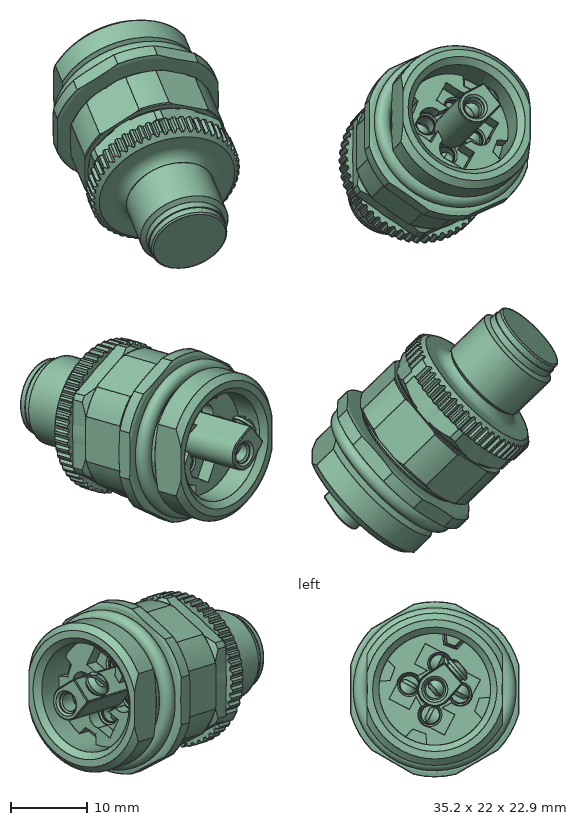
import cadquery as cq
import math


LENGTH = 35.2

body_start = 3.25
body_end = 7.85
body_dia = 19.92
body_flats = 17.67
rear_chamfer = 0.85
front_chamfer_length = 0.6
front_chamfer_depth = 1.15

core_dia = 17.3
ring_wire_dia = 2.1
ring_outer_dia = 21.33
ring_center_x = 9.15

flange_start = 10.2
flange_end = 12.2
flange_flats = 22.0
flange_dia = 22.9
flange_chamfer_length = 0.15
flange_chamfer_depth = 0.53

neck_dia = 16.9
neck_groove_dia = 16.75
neck_groove_width = 0.2
sleeve_start = 13.1
sleeve_end = 19.55
sleeve_flats = 19.0
sleeve_dia = 20.0
sleeve_rear_chamfer = 0.35
sleeve_front_chamfer = 0.15

nut_start = 19.7
knurl_start = 22.2
knurl_end = 24.4
nut_end = 25.15
nut_flats = 18.02
nut_round_dia = 18.2
nut_corner_dia = 20.3
nut_cone_length = 0.85
nut_cone_start_dia = 18.4
nut_end_dia = 18.5
groove_count = 54
groove_depth = 0.4
groove_bottom_width = 0.28
groove_top_width = 0.85
plain_corner_angle = 210.0

throat_base_radius = 7.2
throat_end_x = 26.2
throat_end_radius = 5.55
throat_mid_x = 25.5
throat_mid_radius = 6.2
plug_start = 26.58
plug_dia = 12.0
plug_shoulder = 32.8
tip_start = 33.2
tip_dia = 10.6
tip_step = 34.15
end_dia = 10.3
end_chamfer = 0.2

bore_dia = 14.6
bore_mouth_dia = 16.25
bore_mouth_depth = 0.8
insert_face = 7.6
recess_depth = 1.95
recess_floor = insert_face + recess_depth
recess_side = 5.2
recess_angle = 151.0

notch_radius = 5.88
notch_width = 1.83
notch_flare = 24.0
first_notch_angle = 20.0
tongue_notch_angle = 110.0
tongue_margin = 0.35
tongue_height = 1.05
tongue_taper = 15.0

outer_terminal_radius = 3.38
first_terminal_angle = 99.9
terminal_screw_turn = -72.2
pocket_round_dia = 3.25
terminal_mouth_dia = 3.03
terminal_throat_dia = 2.6
terminal_hole_dia = 2.4
terminal_hole_depth = 3.52
terminal_screw_depth = 1.95
pocket_width = 3.0
pocket_reach = 2.85

post_radius = 2.25
post_face_offset = 3.27
post_face_width = 3.65
post_angle = 139.0
post_edge = 0.15
post_mouth_dia = 3.4
post_throat_dia = 2.8
post_hole_dia = 2.4
post_hole_depth = 4.58
throat_length = 0.18
screw_x = 2.8
shaft_dia = 2.5
shaft_tip = 0.42
shaft_tip_chamfer = 0.5
head_dia = 3.4
head_neck_dia = 2.8
head_rim_start = 0.42
head_rim_end = 0.85
head_height = 1.4
head_top_dia = 1.85
head_slot_width = 0.5
head_slot_depth = 0.55
head_slot_angle = -55.0


def turned(points):
    """Solid of revolution about X from (x, radius) points."""
    return cq.Workplane("XY").polyline(points).close().revolve(360, (0, 0, 0), (1, 0, 0))


def cylinder(start, end, dia):
    return cq.Workplane("YZ", origin=(start, 0, 0)).circle(dia / 2).extrude(end - start)


def hexagon(start, end, flats):
    """Hexagonal prism with two flats facing +Y and -Y."""
    corner_dia = flats / math.cos(math.radians(30))
    prism = cq.Workplane("YZ", origin=(start, 0, 0)).polygon(6, corner_dia).extrude(end - start)
    return prism.rotate((0, 0, 0), (1, 0, 0), 30)


def barrel(start, end, dia, start_chamfer, end_chamfer):
    """Cylinder along X; each end chamfer is given as (length, radial depth)."""
    radius = dia / 2
    start_length, start_depth = start_chamfer
    end_length, end_depth = end_chamfer
    return turned([
        (start, 0),
        (start, radius - start_depth),
        (start + start_length, radius),
        (end - end_length, radius),
        (end, radius - end_depth),
        (end, 0),
    ])


def around_axis(shape, angle):
    return shape.rotate((0, 0, 0), (1, 0, 0), angle)


def rear_body():
    rear = (rear_chamfer, rear_chamfer)
    front = (front_chamfer_length, front_chamfer_depth)
    body = barrel(body_start, body_end, body_dia, rear, front)
    flats = cq.Workplane("XY").box(LENGTH * 2, body_flats, body_dia)
    return body.intersect(flats)


def sealing_ring():
    wire = ring_wire_dia / 2
    section = cq.Workplane("XY").moveTo(ring_center_x, ring_outer_dia / 2 - wire).circle(wire)
    ring = section.revolve(360, (0, 0, 0), (1, 0, 0))
    return ring.union(cylinder(body_end, flange_start, core_dia))


def flange():
    chamfer = (flange_chamfer_length, flange_chamfer_depth)
    crown = barrel(flange_start, flange_end, flange_dia, chamfer, chamfer)
    groove_end = flange_end + neck_groove_width
    neck = cylinder(flange_end, groove_end, neck_groove_dia)
    neck = neck.union(cylinder(groove_end, sleeve_start, neck_dia))
    return hexagon(flange_start, flange_end, flange_flats).intersect(crown).union(neck)


def sleeve():
    rear = (sleeve_rear_chamfer, sleeve_rear_chamfer)
    front = (sleeve_front_chamfer, sleeve_front_chamfer)
    crown = barrel(sleeve_start, sleeve_end, sleeve_dia, rear, front)
    return hexagon(sleeve_start, sleeve_end, sleeve_flats).intersect(crown)


def knurl_groove():
    """Cutter for one groove, lying along X at the +Y side."""
    outer = nut_corner_dia / 2
    slope = (groove_top_width - groove_bottom_width) / 2 / groove_depth
    overshoot = 0.35
    half_bottom = groove_bottom_width / 2
    half_top = half_bottom + slope * (groove_depth + overshoot)
    section = [
        (outer - groove_depth, -half_bottom),
        (outer + overshoot, -half_top),
        (outer + overshoot, half_top),
        (outer - groove_depth, half_bottom),
    ]
    plane = cq.Workplane("YZ", origin=(knurl_start, 0, 0))
    return plane.polyline(section).close().extrude(nut_end - knurl_start)


def nut():
    corner = nut_corner_dia / 2
    crown = turned([
        (nut_start, 0),
        (nut_start, nut_cone_start_dia / 2),
        (nut_start + nut_cone_length, corner),
        (knurl_start, corner),
        (knurl_start, 0),
    ])
    front = hexagon(nut_start, knurl_start, nut_flats).intersect(crown)
    front = front.union(cylinder(sleeve_end, knurl_start, nut_round_dia))

    knurl = turned([
        (knurl_start, 0),
        (knurl_start, corner),
        (knurl_end, corner),
        (nut_end, nut_end_dia / 2),
        (nut_end, 0),
    ])
    pitch = 360 / groove_count
    groove = knurl_groove()
    for index in range(1, groove_count):
        knurl = knurl.cut(around_axis(groove, plain_corner_angle + index * pitch))
    return front.union(knurl)


def plug():
    return (
        cq.Workplane("XY")
        .moveTo(nut_end, 0)
        .lineTo(nut_end, throat_base_radius)
        .threePointArc((throat_mid_x, throat_mid_radius), (throat_end_x, throat_end_radius))
        .lineTo(plug_start, plug_dia / 2)
        .lineTo(plug_shoulder, plug_dia / 2)
        .lineTo(tip_start, tip_dia / 2)
        .lineTo(tip_step, tip_dia / 2)
        .lineTo(tip_step, end_dia / 2)
        .lineTo(LENGTH - end_chamfer, end_dia / 2)
        .lineTo(LENGTH, end_dia / 2 - end_chamfer)
        .lineTo(LENGTH, 0)
        .close()
        .revolve(360, (0, 0, 0), (1, 0, 0))
    )


def bore():
    return turned([
        (body_start, 0),
        (body_start, bore_mouth_dia / 2),
        (body_start + bore_mouth_depth, bore_dia / 2),
        (recess_floor, bore_dia / 2),
        (recess_floor, 0),
    ])


def notch_prism(start, depth, margin, taper=0):
    """Flared prism reaching past the bore wall at the +Y side.

    The margin shrinks the section and the taper (degrees) widens it with depth.
    """
    inner = notch_radius + margin
    outer = bore_dia / 2 + depth
    half_inner = notch_width / 2 - margin
    half_outer = half_inner + (outer - inner) * math.tan(math.radians(notch_flare))
    section = [(inner, -half_inner), (outer, -half_outer), (outer, half_outer), (inner, half_inner)]
    return cq.Workplane("YZ", origin=(start, 0, 0)).polyline(section).close().extrude(depth, taper=-taper)


def contact_insert():
    """Insert disc with a central square recess, edge notches and four screw pockets."""
    plane = cq.Workplane("YZ", origin=(insert_face, 0, 0))
    recess = plane.rect(recess_side, recess_side).extrude(recess_depth)
    insert = cylinder(insert_face, recess_floor, bore_dia).cut(around_axis(recess, recess_angle))
    notch = notch_prism(insert_face, recess_depth, 0)
    pocket = plane.center(pocket_reach / 2, 0).rect(pocket_reach, pocket_width).extrude(recess_depth)
    pocket = pocket.union(cylinder(insert_face, recess_floor, pocket_round_dia))
    for quarter in range(4):
        insert = insert.cut(around_axis(notch, first_notch_angle + 90 * quarter))
        insert = insert.cut(place_terminal(pocket, quarter))
    return insert.union(tongue())


def wire_hole(start, mouth_dia, throat_dia, hole_dia, depth):
    """Blind hole that narrows in two 45 degree cones with a short straight throat between them."""
    throat_start = start + (mouth_dia - throat_dia) / 2
    throat_end = throat_start + throat_length
    hole_start = throat_end + (throat_dia - hole_dia) / 2
    return turned([
        (start, 0),
        (start, mouth_dia / 2),
        (throat_start, throat_dia / 2),
        (throat_end, throat_dia / 2),
        (hole_start, hole_dia / 2),
        (start + depth, hole_dia / 2),
        (start + depth, 0),
    ])


def screw_shaft(x, length):
    """Screw shaft pointing to the axis from the +Y side, with a chamfered tip."""
    plane = cq.Workplane("XZ", origin=(x, -shaft_tip, 0))
    return plane.circle(shaft_dia / 2).extrude(-length).faces("<Y").chamfer(shaft_tip_chamfer)


def outer_terminal_hole():
    """Wire hole of an outer terminal with the screw tip standing in it."""
    hole = wire_hole(
        recess_floor, terminal_mouth_dia, terminal_throat_dia, terminal_hole_dia, terminal_hole_depth
    )
    return hole.cut(screw_shaft(recess_floor + terminal_screw_depth, pocket_round_dia))


def place_terminal(shape, quarter):
    """Move a terminal shape from the axis to its place, its screw side turned from +Y."""
    moved = around_axis(shape, terminal_screw_turn).translate((0, outer_terminal_radius, 0))
    return around_axis(moved, first_terminal_angle + 90 * quarter)


def post():
    """Central terminal: round back, sides running tangent to a flat screw face at +Y."""
    half_width = post_face_width / 2
    corner_distance = math.hypot(post_face_offset, half_width)
    tangent = math.atan2(half_width, post_face_offset) + math.acos(post_radius / corner_distance)
    tangent_y = post_radius * math.cos(tangent)
    tangent_z = post_radius * math.sin(tangent)
    block = (
        cq.Workplane("YZ")
        .moveTo(post_face_offset, -half_width)
        .lineTo(post_face_offset, half_width)
        .lineTo(tangent_y, tangent_z)
        .threePointArc((-post_radius, 0), (tangent_y, -tangent_z))
        .close()
        .extrude(recess_floor)
    )
    block = block.edges("|X and >Y").chamfer(post_edge).faces("<X").chamfer(post_edge)
    block = block.cut(wire_hole(0, post_mouth_dia, post_throat_dia, post_hole_dia, post_hole_depth))
    block = block.union(screw_shaft(screw_x, post_face_offset + shaft_tip))
    return around_axis(block.union(screw_head()), post_angle)


def screw_head():
    """Slotted screw head with a tapered top, on the +Y face of the post."""
    profile = [
        (0, 0),
        (head_neck_dia / 2, 0),
        (head_neck_dia / 2, head_rim_start),
        (head_dia / 2, head_rim_start),
        (head_dia / 2, head_rim_end),
        (head_top_dia / 2, head_height),
        (0, head_height),
    ]
    head = cq.Workplane("XY").polyline(profile).close().revolve(360, (0, 0, 0), (0, 1, 0))
    slot = cq.Workplane("XY").box(head_dia * 2, head_slot_depth, head_slot_width)
    slot = slot.translate((0, head_height - head_slot_depth / 2, 0))
    slot = slot.rotate((0, 0, 0), (0, 1, 0), head_slot_angle)
    return head.cut(slot).translate((screw_x, post_face_offset, 0))


def tongue():
    """Latch tongue rising from one of the notches."""
    start = recess_floor - tongue_height
    prism = notch_prism(start, tongue_height, tongue_margin, tongue_taper)
    prism = prism.intersect(cylinder(start, recess_floor, bore_dia))
    return around_axis(prism, tongue_notch_angle)


housing = rear_body()
for section in (sealing_ring(), flange(), sleeve(), nut(), plug()):
    housing = housing.union(section)

housing = housing.cut(bore()).union(contact_insert())
for position in range(4):
    housing = housing.cut(place_terminal(outer_terminal_hole(), position))

result = housing.union(post())